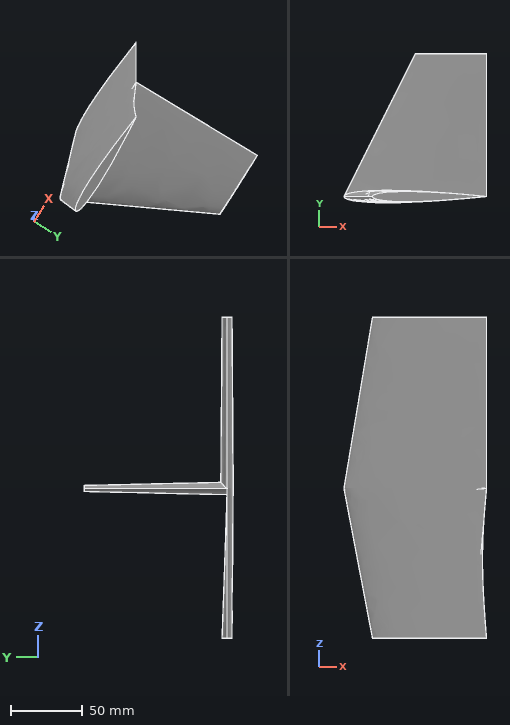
import cadquery as cq
import math

root_chord = 100.0
thickness_ratio = 0.09

upper_span = 120.0
lower_span = 105.0
vertical_tip_chord = 80.0

side_span = 100.0
side_tip_chord = 50.0

thickness_scale = 5.0
root_coefficient = 0.2969
power_coefficients = (-0.1260, -0.3516, 0.2843, -0.1036)

intervals_per_side = 9
parameter_exponent = 0.2

wrap_intervals = 2


def airfoil_point(chord, index):
    """Point number index around the airfoil: 0 is the trailing edge and the sign picks the side."""
    station = (1.0 + math.cos(math.pi * index / intervals_per_side)) / 2.0
    height = root_coefficient * math.sqrt(station)
    for power, coefficient in enumerate(power_coefficients, start=1):
        height += coefficient * station**power
    half_thickness = thickness_scale * thickness_ratio * chord * height
    x = root_chord - chord * (1.0 - station)
    return (x, math.copysign(half_thickness, index))


def spline_parameters(points):
    """Parameters from 0 to 1 whose steps grow only slightly with the distance between points."""
    steps = [math.dist(a, b) ** parameter_exponent for a, b in zip(points, points[1:])]
    return [sum(steps[:i]) / sum(steps) for i in range(len(points))]


def airfoil_curve(plane, chord, first, last):
    """Add the stretch of airfoil between two point numbers as one spline."""
    points = [airfoil_point(chord, index) for index in range(first, last + 1)]
    return plane.spline(points, parameters=spline_parameters(points))


def airfoil(plane, chord, seam=0):
    """Closed airfoil of two splines that meet at the nose and at point number seam."""
    first_skin = airfoil_curve(plane, chord, -intervals_per_side, seam)
    return airfoil_curve(first_skin, chord, seam, intervals_per_side).wire()


def tapered_fin(plane_name, span, tip_chord):
    """Fin with a full airfoil at both ends, extending by span along the plane normal."""
    root = airfoil(cq.Workplane(plane_name), root_chord)
    tip = airfoil(root.workplane(offset=span), tip_chord)
    return tip.loft(ruled=True)


def lower_fin():
    """Fin that grows from the -Y half of the root airfoil into a full airfoil at its tip.

    The seam meets the trailing edge at the root but lies past it, on the +Y side, at the tip.
    The trailing edge therefore bows slightly inward between root and tip.
    """
    root = airfoil_curve(cq.Workplane("XY"), root_chord, -intervals_per_side, 0).close()
    tip = airfoil(root.workplane(offset=-lower_span), vertical_tip_chord, seam=wrap_intervals)
    return tip.loft(ruled=True)


upper_fin = tapered_fin("XY", upper_span, vertical_tip_chord)
side_fin = tapered_fin("XZ", -side_span, side_tip_chord)

result = upper_fin.union(side_fin).union(lower_fin())